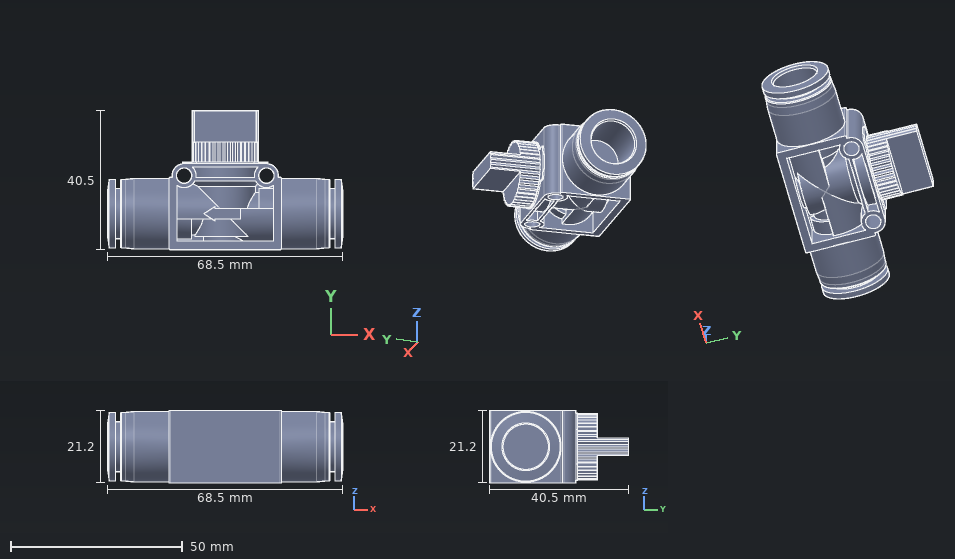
import cadquery as cq
import math


body_half_x = 16.4
body_half_z = 10.6
body_bottom_y = -10.5
shoulder_y = 10.65
body_edge_radius = 0.4
lug_x = 12.0
lug_y = 11.1
lug_radius = 3.5
lug_hole_radius = 2.2
body_top_y = lug_y + lug_radius

web_thickness = 1.0
pocket_half_x = 14.0
pocket_bottom_y = -7.9
wall_thickness = 1.0
bar_bottom_y = 9.5
bar_top_y = bar_bottom_y + wall_thickness
gland_pocket_top_y = body_top_y - wall_thickness

core_radius = 8.8
core_bottom_y = -6.7
collar_bottom_y = 8.0
gland_radius = core_radius + bar_bottom_y - collar_bottom_y
spigot_radius = 6.4
channel_overlap = 1.5
neck_radius = 6.2
socket_radius = 7.4
socket_inner_x = 9.8

arrow_top_z = 9.4
arrow_base_z = 8.0
arrow_tip_x = -6.2
arrow_head_x = -3.0
arrow_tail_x = 4.4
arrow_head_half = 2.1
arrow_shaft_half = 1.5

port_end_x = 34.25
port_radius = 10.3
port_nose_radius = 10.03
port_nose_chamfer = 0.3
port_taper_start_x = 26.6
port_taper_end_x = 29.1
groove_start_x = 30.55
groove_radius = 7.35
flange_start_x = 31.95
flange_rim_x = 33.8
bore_radius = 6.6
bore_depth = 18.0
bore_mouth_radius = 6.95
bore_mouth_depth = 0.8

flange_disc_top_y = 15.0
flange_disc_radius = 9.83
flange_arm_radius = 12.5
flange_arm_half_z = 5.05
knob_top_y = 20.85
handle_top_y = 30.0
handle_half_z = 2.6
tooth_count = 40
tooth_tip_radius = 9.67
tooth_root_radius = 9.15


def box_between(x_range, y_range, z_range):
    """Box filling the given (low, high) ranges."""
    lows, highs = zip(x_range, y_range, z_range)
    sizes = [high - low for low, high in zip(lows, highs)]
    return cq.Workplane("XY").box(*sizes, centered=False).translate(lows)


def cylinder_along_x(radius, x_start, x_end):
    return cq.Workplane("YZ").workplane(offset=x_start).circle(radius).extrude(x_end - x_start)


def extrude_up(profile, y_start, y_end):
    """Move a sketch drawn on the XZ plane through y = 0 to y_start and extrude it to y_end."""
    return profile.extrude(y_start - y_end).translate((0, y_start, 0))


def cylinder_along_y(radius, y_start, y_end):
    return extrude_up(cq.Workplane("XZ").circle(radius), y_start, y_end)


def make_lugs(radius):
    return (
        cq.Workplane("XY")
        .workplane(offset=-body_half_z)
        .pushPoints([(-lug_x, lug_y), (lug_x, lug_y)])
        .circle(radius)
        .extrude(2 * body_half_z)
    )


def make_body_block():
    z_range = (-body_half_z, body_half_z)
    lug_edge_x = lug_x + lug_radius
    block = box_between((-body_half_x, body_half_x), (body_bottom_y, shoulder_y), z_range)
    block = block.edges("|Z").fillet(body_edge_radius)
    lug_base = box_between((-lug_edge_x, lug_edge_x), (0, lug_y), z_range)
    bridge = box_between((-lug_x, lug_x), (0, body_top_y), z_range)
    return block.union(lug_base).union(bridge).union(make_lugs(lug_radius))


def make_pockets():
    """Main and gland pockets on both Z sides, leaving the lugs standing."""
    main_x = (-pocket_half_x, pocket_half_x)
    main_y = (pocket_bottom_y, bar_bottom_y)
    gland_x = (-lug_x, lug_x)
    gland_y = (bar_top_y, gland_pocket_top_y)
    floor_z = web_thickness / 2
    pockets = cq.Workplane("XY")
    for z_range in ((floor_z, body_half_z), (-body_half_z, -floor_z)):
        pockets = pockets.union(box_between(main_x, main_y, z_range))
        pockets = pockets.union(box_between(gland_x, gland_y, z_range))
    return pockets.cut(make_lugs(lug_radius))


def make_core():
    """Round valve housing on the Y axis, with its collar, gland and bottom spigot."""
    profile = [
        (0, body_bottom_y + wall_thickness),
        (spigot_radius, body_bottom_y + wall_thickness),
        (spigot_radius, core_bottom_y),
        (core_radius, core_bottom_y),
        (core_radius, collar_bottom_y),
        (gland_radius, bar_bottom_y),
        (gland_radius, gland_pocket_top_y),
        (0, gland_pocket_top_y),
    ]
    return cq.Workplane("XY").polyline(profile).close().revolve(360, (0, 0, 0), (0, 1, 0))


def make_channel():
    """Passage on the -X side: a cut-off large half above, full necks below."""
    outer_x = -(pocket_half_x + body_half_x) / 2
    upper_half = cylinder_along_x(core_radius, outer_x, 0).intersect(
        box_between((outer_x, 0), (-channel_overlap, core_radius), (-core_radius, core_radius))
    )
    neck = cylinder_along_x(neck_radius, outer_x, 0)
    socket = cylinder_along_x(socket_radius, outer_x, -socket_inner_x)
    return upper_half.union(neck).union(socket)


def make_arrow():
    upper_points = [
        (arrow_tip_x, 0),
        (arrow_head_x, arrow_head_half),
        (arrow_head_x, arrow_shaft_half),
        (arrow_tail_x, arrow_shaft_half),
    ]
    lower_points = [(x, -y) for x, y in reversed(upper_points[1:])]
    return (
        cq.Workplane("XY")
        .workplane(offset=arrow_base_z)
        .polyline(upper_points + lower_points)
        .close()
        .extrude(arrow_top_z - arrow_base_z)
    )


def make_port():
    """Push-in port on the +X side with its release ring and blind bore."""
    bore_end_x = port_end_x - bore_depth
    profile = [
        (bore_end_x, 0),
        (pocket_half_x, 0),
        (pocket_half_x, port_radius),
        (port_taper_start_x, port_radius),
        (port_taper_end_x, port_nose_radius),
        (groove_start_x - port_nose_chamfer, port_nose_radius),
        (groove_start_x, port_nose_radius - port_nose_chamfer),
        (groove_start_x, groove_radius),
        (flange_start_x, groove_radius),
        (flange_start_x, port_nose_radius),
        (flange_rim_x, port_nose_radius),
        (port_end_x, bore_mouth_radius),
        (port_end_x - bore_mouth_depth, bore_radius),
        (bore_end_x, bore_radius),
    ]
    return cq.Workplane("XY").polyline(profile).close().revolve(360, (0, 0, 0), (1, 0, 0))


def make_flange():
    """Thin disc under the knob with one rounded stop arm on each X side."""
    disc = cylinder_along_y(flange_disc_radius, gland_pocket_top_y, flange_disc_top_y)
    arms = cylinder_along_y(flange_arm_radius, body_top_y, flange_disc_top_y).intersect(
        box_between(
            (-flange_arm_radius, flange_arm_radius),
            (body_top_y, flange_disc_top_y),
            (-flange_arm_half_z, flange_arm_half_z),
        )
    )
    return disc.union(arms)


def make_handle():
    """V-toothed knob whose middle slice runs on as the flat grip."""
    points = []
    for step in range(2 * tooth_count):
        angle = math.pi * step / tooth_count
        radius = tooth_root_radius if step % 2 else tooth_tip_radius
        points.append((radius * math.cos(angle), radius * math.sin(angle)))
    toothed = extrude_up(cq.Workplane("XZ").polyline(points).close(), body_top_y, handle_top_y)
    knob_x = (-tooth_tip_radius, tooth_tip_radius)
    upper_y = (knob_top_y, handle_top_y)
    for z_range in ((handle_half_z, tooth_tip_radius), (-tooth_tip_radius, -handle_half_z)):
        toothed = toothed.cut(box_between(knob_x, upper_y, z_range))
    return toothed


channel = make_channel()
port = make_port()

result = make_body_block().cut(make_pockets())
result = result.union(make_core())
result = result.union(channel).union(channel.rotate((0, 0, 0), (0, 0, 1), 180))
result = result.union(port).union(port.mirror("YZ"))
result = result.union(make_arrow())
result = result.cut(make_lugs(lug_hole_radius))
result = result.union(make_flange()).union(make_handle())